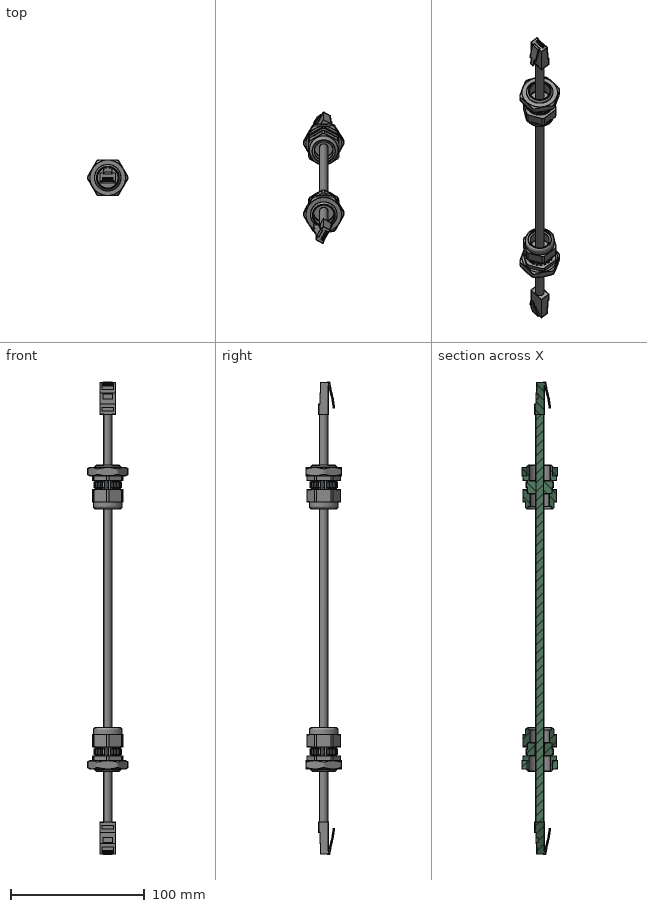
import cadquery as cq
import math

TOTAL_LENGTH = 353.5
HALF_LENGTH = TOTAL_LENGTH / 2

CABLE_DIAMETER = 6.5

PLUG_WIDTH = 11.5
PLUG_LENGTH = 24.0
PLUG_BACK_Y = 3.5
PLUG_FRONT_Y = -3.0
LATCH_NOSE = 0.5
RELIEF_LENGTH = 7.8
RELIEF_STEP = 1.0
CONTACT_COUNT = 8
CONTACT_PITCH = 1.03
CONTACT_SLOT_WIDTH = 0.53
CONTACT_SLOT_DEPTH = 3.2
CONTACT_SLOT_HEIGHT = 3.0
TIP_STEP = 0.5
TIP_LENGTH = 8.0
RECESS_WIDTH = 8.5
RECESS_HEIGHT = 5.3
RECESS_DEPTH = 0.5
WINDOW_WIDTH = 7.5
WINDOW_HEIGHT = 3.5
WINDOW_DEPTH = 1.5
WINDOW_DROP = 10.5
POCKET_WIDTH = 8.5
POCKET_HEIGHT = 3.0
POCKET_DEPTH = 0.7
POCKET_RISE = 4.0
LATCH_WIDTH = 6.0
LATCH_TAIL_WIDTH = 3.0
LATCH_TAIL_TOP_Z = 163.5
LATCH_THICKNESS = 0.9
LATCH_ARM_THICKNESS = 1.0
LATCH_REACH = 8.0
LATCH_BEND_Y = 5.5
LATCH_BEND_Z = 170.5
LATCH_HOOK_Y = 7.0
LATCH_HOOK_Z = 164.5
LATCH_TIP_Z = 157.5
LATCH_ROOT_Z = 174.0

BODY_END_Z = 114.5
LOCK_NUT_TOP_Z = 112.8
FLANGE_TOP_Z = 106.5
FLANGE_BOTTOM_Z = 103.0
DOME_NUT_TOP_Z = 96.0
DOME_NUT_HEX_END_Z = 87.0
DOME_NUT_END_Z = 81.5

THREAD_DIAMETER = 19.8
THREAD_CHAMFER = 1.5
BODY_BORE_DIAMETER = 15.5
HEX_ACROSS_FLATS = 22.5
HEX_ROUND_DIAMETER = 25.0
LOCK_NUT_ACROSS_FLATS = 27.0
LOCK_NUT_CORNER_RADIUS = 2.5
LOCK_NUT_FACE_DIAMETER = 26.5
LOCK_NUT_CHAMFER_HEIGHT = 1.5
NECK_DIAMETER = 18.7
NECK_LENGTH = 10.0
COLLAR_DIAMETER = 20.5
COLLAR_GAP = 1.0
COLLAR_HEIGHT = 4.0
TOOTH_COUNT = 20
TOOTH_SLOT_WIDTH = 1.8
TOOTH_SLOT_FLOOR_RADIUS = 8.0
DOME_DIAMETER = 21.5
DOME_ROUND = 2.0
DOME_MOUTH_DIAMETER = DOME_DIAMETER - 2 * DOME_ROUND
DOME_MOUTH_DEPTH = 1.8
DOME_BORE_DIAMETER = 14.0


def cylinder(diameter, low, high):
    """A cylinder about Z between two levels."""
    return cq.Workplane("XY").workplane(offset=low).circle(diameter / 2).extrude(high - low)


def hexagon(across_flats, low, high):
    """A hexagonal prism about Z between two levels, with two corners on the X axis."""
    across_corners = across_flats / math.cos(math.pi / 6)
    return cq.Workplane("XY").workplane(offset=low).polygon(6, across_corners).extrude(high - low)


def turned_hexagon(low, high):
    """The wrench hexagon of the gland: corners on the Y axis, cut back to a round."""
    prism = hexagon(HEX_ACROSS_FLATS, low, high).rotate((0, 0, 0), (0, 0, 1), 30)
    return prism.intersect(cylinder(HEX_ROUND_DIAMETER, low, high))


def block(width, y_low, y_high, z_low, z_high, x_middle=0.0):
    """A box that is centred on x_middle and spans the given Y and Z ranges."""
    box = cq.Workplane("XY").box(width, y_high - y_low, z_high - z_low, centered=(True, False, False))
    return box.translate((x_middle, y_low, z_low))


PLUG_TOP_Z = HALF_LENGTH - LATCH_NOSE
PLUG_BOTTOM_Z = PLUG_TOP_Z - PLUG_LENGTH


def make_latch():
    """A thin spring arm that leaves the plug near its tip and slants back and outwards."""
    root_y = PLUG_BACK_Y - LATCH_THICKNESS
    outline = [
        (root_y, HALF_LENGTH),
        (PLUG_BACK_Y + LATCH_THICKNESS, HALF_LENGTH),
        (LATCH_BEND_Y, LATCH_BEND_Z),
        (LATCH_HOOK_Y, LATCH_HOOK_Z),
        (LATCH_REACH, LATCH_TIP_Z),
        (LATCH_REACH - LATCH_ARM_THICKNESS, LATCH_TIP_Z),
        (LATCH_HOOK_Y - LATCH_ARM_THICKNESS, LATCH_HOOK_Z),
        (PLUG_BACK_Y, LATCH_ROOT_Z),
        (root_y, LATCH_ROOT_Z),
    ]
    latch = cq.Workplane("YZ").polyline(outline).close().extrude(LATCH_WIDTH / 2, both=True)
    tail_side = (LATCH_WIDTH - LATCH_TAIL_WIDTH) / 2
    for side in (-1, 1):
        x = side * (LATCH_TAIL_WIDTH + tail_side) / 2
        latch = latch.cut(block(tail_side, PLUG_BACK_Y, LATCH_REACH, PLUG_BOTTOM_Z, LATCH_TAIL_TOP_Z, x))
    return latch


def make_plug():
    plug = block(PLUG_WIDTH, PLUG_FRONT_Y, PLUG_BACK_Y, PLUG_BOTTOM_Z, PLUG_TOP_Z)
    relief_front = PLUG_FRONT_Y - RELIEF_STEP
    relief_top = PLUG_BOTTOM_Z + RELIEF_LENGTH
    plug = plug.union(block(PLUG_WIDTH, relief_front, PLUG_BACK_Y, PLUG_BOTTOM_Z, relief_top))
    plug = plug.union(make_latch())

    tip_low = PLUG_TOP_Z - TIP_LENGTH
    tip_front = PLUG_FRONT_Y + TIP_STEP
    plug = plug.cut(block(PLUG_WIDTH, PLUG_FRONT_Y, tip_front, tip_low, PLUG_TOP_Z))
    recess_low = PLUG_TOP_Z - RECESS_HEIGHT
    plug = plug.cut(block(RECESS_WIDTH, tip_front, tip_front + RECESS_DEPTH, recess_low, PLUG_TOP_Z))

    slot_back = PLUG_FRONT_Y + CONTACT_SLOT_DEPTH
    slot_low = PLUG_TOP_Z - CONTACT_SLOT_HEIGHT
    for i in range(CONTACT_COUNT):
        x = (i - (CONTACT_COUNT - 1) / 2) * CONTACT_PITCH
        plug = plug.cut(block(CONTACT_SLOT_WIDTH, PLUG_FRONT_Y, slot_back, slot_low, PLUG_TOP_Z, x))

    window_middle = PLUG_TOP_Z - WINDOW_DROP
    window_low = window_middle - WINDOW_HEIGHT / 2
    window_back = PLUG_FRONT_Y + WINDOW_DEPTH
    plug = plug.cut(block(WINDOW_WIDTH, PLUG_FRONT_Y, window_back, window_low, window_low + WINDOW_HEIGHT))
    pocket_low = PLUG_BOTTOM_Z + POCKET_RISE - POCKET_HEIGHT / 2
    pocket_back = relief_front + POCKET_DEPTH
    return plug.cut(block(POCKET_WIDTH, relief_front, pocket_back, pocket_low, pocket_low + POCKET_HEIGHT))


def make_cable():
    return cylinder(CABLE_DIAMETER, -PLUG_BOTTOM_Z, PLUG_BOTTOM_Z)


NECK_END_Z = FLANGE_BOTTOM_Z - NECK_LENGTH
COLLAR_TOP_Z = FLANGE_BOTTOM_Z - COLLAR_GAP


def make_gland_body():
    thread = cylinder(THREAD_DIAMETER, FLANGE_TOP_Z, BODY_END_Z).faces(">Z").chamfer(THREAD_CHAMFER)
    body = thread.union(turned_hexagon(FLANGE_BOTTOM_Z, FLANGE_TOP_Z))
    body = body.union(cylinder(NECK_DIAMETER, NECK_END_Z, FLANGE_BOTTOM_Z))
    body = body.union(cylinder(COLLAR_DIAMETER, COLLAR_TOP_Z - COLLAR_HEIGHT, COLLAR_TOP_Z))
    body = body.cut(cylinder(BODY_BORE_DIAMETER, FLANGE_BOTTOM_Z, BODY_END_Z))
    body = body.cut(cylinder(CABLE_DIAMETER, NECK_END_Z, FLANGE_BOTTOM_Z))
    slot_depth = COLLAR_DIAMETER / 2 - TOOTH_SLOT_FLOOR_RADIUS
    slot_height = FLANGE_BOTTOM_Z - DOME_NUT_TOP_Z
    slot = cq.Workplane("XY").box(slot_depth, TOOTH_SLOT_WIDTH, slot_height, centered=(False, True, False))
    slot = slot.translate((TOOTH_SLOT_FLOOR_RADIUS, 0, DOME_NUT_TOP_Z))
    for i in range(TOOTH_COUNT):
        angle = (i + 0.5) * 360 / TOOTH_COUNT
        body = body.cut(slot.rotate((0, 0, 0), (0, 0, 1), angle))
    return body


def make_lock_nut():
    nut = hexagon(LOCK_NUT_ACROSS_FLATS, FLANGE_TOP_Z, LOCK_NUT_TOP_Z)
    nut = nut.edges("|Z").fillet(LOCK_NUT_CORNER_RADIUS)
    face_radius = LOCK_NUT_FACE_DIAMETER / 2
    wide_radius = face_radius + LOCK_NUT_CHAMFER_HEIGHT / math.tan(math.pi / 6)
    profile = [
        (0, FLANGE_TOP_Z),
        (face_radius, FLANGE_TOP_Z),
        (wide_radius, FLANGE_TOP_Z + LOCK_NUT_CHAMFER_HEIGHT),
        (wide_radius, LOCK_NUT_TOP_Z - LOCK_NUT_CHAMFER_HEIGHT),
        (face_radius, LOCK_NUT_TOP_Z),
        (0, LOCK_NUT_TOP_Z),
    ]
    envelope = cq.Workplane("XZ").polyline(profile).close().revolve(360, (0, 0, 0), (0, 1, 0))
    return nut.intersect(envelope).cut(cylinder(THREAD_DIAMETER, FLANGE_TOP_Z, LOCK_NUT_TOP_Z))


def make_dome_nut():
    dome = cylinder(DOME_DIAMETER, DOME_NUT_END_Z, DOME_NUT_TOP_Z).faces("<Z").edges().fillet(DOME_ROUND)
    nut = dome.union(turned_hexagon(DOME_NUT_HEX_END_Z, DOME_NUT_TOP_Z))
    nut = nut.cut(cylinder(DOME_MOUTH_DIAMETER, DOME_NUT_END_Z, DOME_NUT_END_Z + DOME_MOUTH_DEPTH))
    nut = nut.cut(cylinder(DOME_BORE_DIAMETER, DOME_NUT_END_Z, DOME_NUT_TOP_Z))
    return nut.cut(cylinder(NECK_DIAMETER, NECK_END_Z, DOME_NUT_TOP_Z))


bodies = [make_cable().val()]
for make_part in (make_plug, make_gland_body, make_lock_nut, make_dome_nut):
    for turn in (0, 180):
        bodies.append(make_part().rotate((0, 0, 0), (0, 1, 0), turn).solids().val())

result = cq.Compound.makeCompound(bodies)